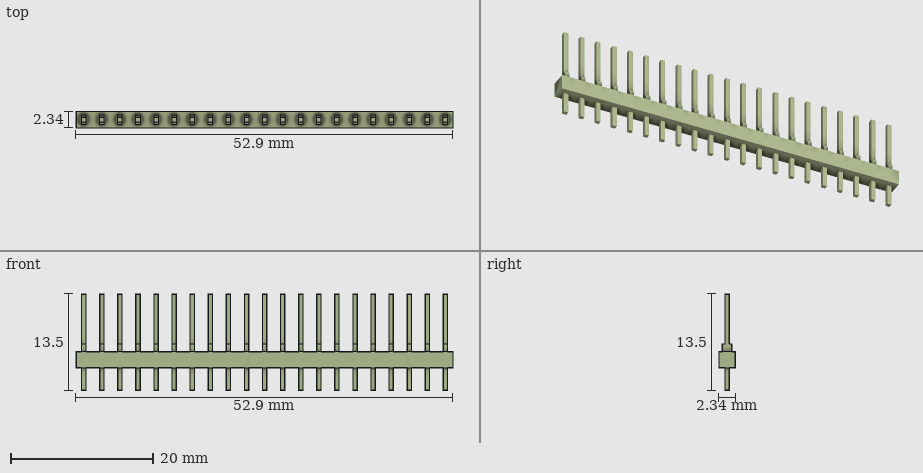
import cadquery as cq

overall_length = 52.93
overall_height = 13.54

bar_depth = 2.34
bar_height = 2.286

pin_count = 21
pin_pitch = 2.54
pin_side = 0.635
pin_tail_length = 3.175

shoulder_depth = 1.37
shoulder_height = 1.08

bar_bottom = -bar_height / 2
bar_top = bar_height / 2
pin_bottom = bar_bottom - pin_tail_length


def block(size_x, size_y, size_z, base_z):
    """Box centred in X and Y that stands on the height base_z."""
    box = cq.Workplane("XY").box(size_x, size_y, size_z, centered=(True, True, False))
    return box.translate((0, 0, base_z))


def make_bar():
    return block(overall_length, bar_depth, bar_height, bar_bottom)


def make_pin():
    """Straight pin with a shoulder, wider in Y, just above the bar."""
    shank = block(pin_side, pin_side, overall_height, pin_bottom)
    shoulder = block(pin_side, shoulder_depth, bar_top + shoulder_height, 0)
    return shank.union(shoulder)


def make_header():
    header = make_bar()
    pin = make_pin()
    first_pin_x = -(pin_count - 1) * pin_pitch / 2
    for index in range(pin_count):
        header = header.union(pin.translate((first_pin_x + index * pin_pitch, 0, 0)))
    return header


result = make_header()